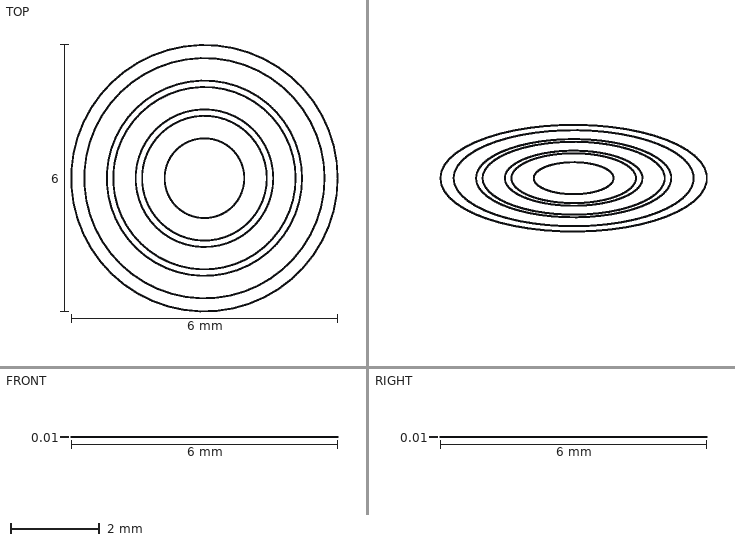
import cadquery as cq

thickness = 0.01
disc_diameter = 1.8
outer_ring_diameter = 6.0
outer_ring_width = 0.3
middle_ring_diameter = 4.4
inner_ring_diameter = 3.1
narrow_ring_width = 0.15


def make_disc(diameter):
    """Round plate resting on the XY plane, centred on the Z axis."""
    return cq.Workplane("XY").circle(diameter / 2).extrude(thickness)


def make_ring(outer_diameter, width):
    """Flat ring resting on the XY plane; width is measured radially."""
    outer_radius = outer_diameter / 2
    return cq.Workplane("XY").circle(outer_radius).circle(outer_radius - width).extrude(thickness)


center_disc = make_disc(disc_diameter)
inner_ring = make_ring(inner_ring_diameter, narrow_ring_width)
middle_ring = make_ring(middle_ring_diameter, narrow_ring_width)
outer_ring = make_ring(outer_ring_diameter, outer_ring_width)

result = cq.Compound.makeCompound(
    [center_disc.val(), inner_ring.val(), middle_ring.val(), outer_ring.val()]
)